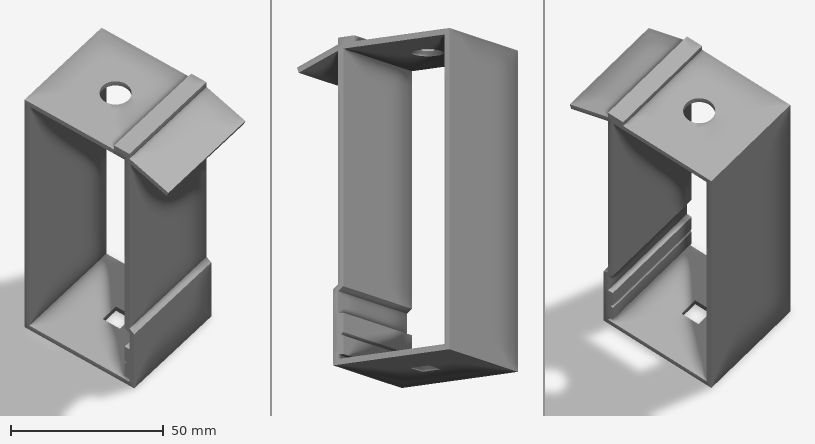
import cadquery as cq
import math

depth = 41.3
height = 109.8
sheet = 2.0

door_outer_x = 43.5
base_width = door_outer_x + sheet
top_z = height - sheet
roof_z = top_z - sheet
door_inner_x = door_outer_x - sheet

eave_tip_x = 59.6
eave_angle = math.radians(20)
eave_bend_x = 42.7
eave_miter = sheet * math.tan(eave_angle / 2)

lip_top_z = 17.2
lip_outer_bend_z = 9.9
lip_inner_bend_z = 9.2
lip_rise = 1.5

door_bend_z = 27.0
door_bend_drop = 1.4
door_bend_offset = 0.9

strip_bottom_z = 3.4
strip_edge_z = 9.4
strip_ridge_inset = 0.9

bar_width = 6.4

roof_hole_diameter = 10.5
base_hole_side = 7.1


def eave_upper_z(x):
    """Height of the eave's upper face."""
    return top_z - (x - eave_bend_x) * math.tan(eave_angle)


def eave_lower_z(x):
    """Height of the eave's lower face."""
    return roof_z - (x - eave_bend_x + eave_miter) * math.tan(eave_angle)


def lip_underside_z(x):
    """Height of the sloping underside of the lip."""
    return lip_inner_bend_z + lip_rise * (door_outer_x - x) / sheet


def extrude_profile(points):
    """Extrude an XZ outline over the full depth, from y = 0 to y = depth."""
    return cq.Workplane("XZ").polyline(points).close().extrude(-depth)


def make_frame():
    """Base, left wall, roof with eave, and lip, bent from one sheet."""
    eave_tip_z = eave_upper_z(eave_tip_x)
    frame = extrude_profile([
        (0, 0),
        (base_width, 0),
        (base_width, lip_outer_bend_z),
        (door_outer_x, lip_outer_bend_z + lip_rise),
        (door_outer_x, lip_top_z),
        (door_inner_x, lip_top_z),
        (door_inner_x, lip_underside_z(door_inner_x)),
        (door_outer_x, lip_inner_bend_z),
        (door_outer_x, sheet),
        (sheet, sheet),
        (sheet, roof_z),
        (eave_bend_x - eave_miter, roof_z),
        (eave_tip_x - sheet * math.sin(eave_angle), eave_tip_z - sheet * math.cos(eave_angle)),
        (eave_tip_x, eave_tip_z),
        (eave_bend_x, top_z),
        (0, top_z),
    ])
    roof_hole = (
        cq.Workplane("XY", origin=(door_outer_x / 2, depth / 2, roof_z))
        .circle(roof_hole_diameter / 2)
        .extrude(sheet)
    )
    base_hole = (
        cq.Workplane("XY", origin=(base_width / 2, depth / 2, 0))
        .rect(base_hole_side, base_hole_side)
        .extrude(sheet)
    )
    return frame.cut(roof_hole).cut(base_hole)


def make_door():
    """Wall that fits under the eave and steps outward over the lip."""
    inner_bend_z = door_bend_z - door_bend_offset
    return extrude_profile([
        (door_inner_x, roof_z),
        (eave_bend_x - eave_miter, roof_z),
        (door_outer_x, eave_lower_z(door_outer_x)),
        (door_outer_x, door_bend_z),
        (base_width, door_bend_z - door_bend_drop),
        (base_width, lip_outer_bend_z),
        (door_outer_x, lip_outer_bend_z + lip_rise),
        (door_outer_x, inner_bend_z - door_bend_drop),
        (door_inner_x, inner_bend_z),
    ])


def make_strip():
    """Strip tucked under the lip, with a ridged upper edge."""
    ridge_x = door_inner_x + strip_ridge_inset
    return extrude_profile([
        (door_inner_x, strip_bottom_z),
        (door_outer_x, strip_bottom_z),
        (door_outer_x, lip_inner_bend_z),
        (ridge_x, lip_underside_z(ridge_x)),
        (door_inner_x, strip_edge_z),
    ])


def make_handle_bar():
    """Bar on the roof whose underside follows the start of the eave."""
    return extrude_profile([
        (door_outer_x - bar_width, top_z),
        (eave_bend_x, top_z),
        (door_outer_x, eave_upper_z(door_outer_x)),
        (door_outer_x, height),
        (door_outer_x - bar_width, height),
    ])


frame = make_frame()
door = make_door()
strip = make_strip()
handle_bar = make_handle_bar()

result = cq.Compound.makeCompound([
    frame.val(),
    door.val(),
    strip.val(),
    handle_bar.val(),
])